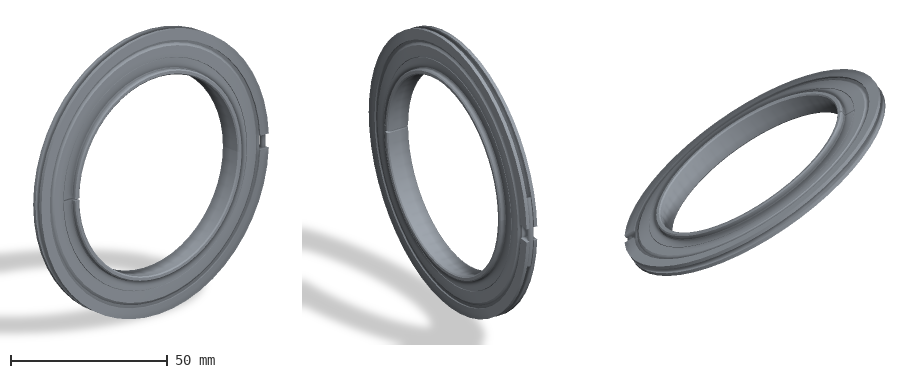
import cadquery as cq

rim_radius = 48.0
bore_radius = 33.4
flange_half = 2.0
ring_width = 8.0
ring_half = ring_width / 2
lip_radius = 35.1
lip_chamfer = 0.4
root_chamfer = 0.3

groove_width = 1.7
groove_depth = 1.9

channel_outer = 44.4
channel_inner = 42.6
channel_slope = 0.9
channel_depth = 0.6

joint_radius = 38.8
joint_width = 0.2
joint_depth = 0.5

split_width = 0.7
split_through_radius = 38.0

window_height = 4.8
edge_round = 1.3

cord_radius = 1.0
cord_center_radius = rim_radius - cord_radius
cord_half_angle = 15.0


def revolve_x(profile):
    return profile.close().revolve(360, (0, 0, 0), (1, 0, 0))


def box_between(x_half, y_min, y_max, height):
    length = y_max - y_min
    return cq.Workplane("XY").box(2 * x_half, length, height).translate((0, y_min + length / 2, 0))


def plain_ring():
    """The full ring section, with chamfered lips and the round-bottomed rim groove."""
    groove_radius = groove_width / 2
    groove_bottom = rim_radius - groove_depth
    right_side = [
        (ring_half - lip_chamfer, bore_radius),
        (ring_half, bore_radius + lip_chamfer),
        (ring_half, lip_radius - lip_chamfer),
        (ring_half - lip_chamfer, lip_radius),
        (flange_half + root_chamfer, lip_radius),
        (flange_half, lip_radius + root_chamfer),
        (flange_half, rim_radius),
        (groove_radius, rim_radius),
        (groove_radius, groove_bottom + groove_radius),
    ]
    left_side = [(-x, y) for x, y in reversed(right_side)]
    return revolve_x(
        cq.Workplane("XY")
        .polyline(right_side)
        .threePointArc((0, groove_bottom), left_side[0])
        .polyline(left_side[1:], includeCurrent=True)
    )


def face_channel():
    floor = flange_half - channel_depth
    return revolve_x(
        cq.Workplane("XY")
        .moveTo(flange_half, channel_inner)
        .lineTo(floor, channel_inner + channel_slope)
        .lineTo(floor, channel_outer)
        .lineTo(flange_half, channel_outer)
    )


def joint_groove():
    floor = flange_half - joint_depth
    inner = joint_radius - joint_width
    return revolve_x(
        cq.Workplane("XY")
        .moveTo(flange_half, inner)
        .lineTo(floor, inner)
        .lineTo(floor, joint_radius)
        .lineTo(flange_half, joint_radius)
    )


def split():
    """Through slit from the bore, continued as shallow notches to the joint."""
    through = box_between(ring_half, -split_through_radius, 0, split_width)
    notched = box_between(ring_half, -joint_radius, 0, split_width)
    core = box_between(flange_half - joint_depth, -joint_radius, 0, split_width)
    return through.union(notched.cut(core))


def cord_window():
    """Opening through the rim whose inner wall bulges outward to guide the cord."""
    wall = channel_outer
    start = wall - edge_round
    flat_half = flange_half - edge_round
    arc_offset = edge_round / 2**0.5
    outline = (
        cq.Workplane("XY")
        .moveTo(-flange_half, rim_radius + cord_radius)
        .lineTo(-flange_half, start)
        .threePointArc((-flat_half - arc_offset, start + arc_offset), (-flat_half, wall))
        .lineTo(flat_half, wall)
        .threePointArc((flat_half + arc_offset, start + arc_offset), (flange_half, start))
        .lineTo(flange_half, rim_radius + cord_radius)
        .close()
    )
    return outline.extrude(window_height / 2, both=True)


def cord_segment():
    """Arc of round cord about the X axis, centred on +Y."""
    arc = (
        cq.Workplane("XY")
        .center(0, cord_center_radius)
        .circle(cord_radius)
        .revolve(2 * cord_half_angle, (0, -cord_center_radius, 0), (1, -cord_center_radius, 0))
    )
    return arc.rotate((0, 0, 0), (1, 0, 0), -cord_half_angle)


ring = plain_ring()
for face_cut in (face_channel(), joint_groove()):
    ring = ring.cut(face_cut).cut(face_cut.mirror("YZ"))
ring = ring.cut(split()).cut(cord_window())
result = ring.union(cord_segment())